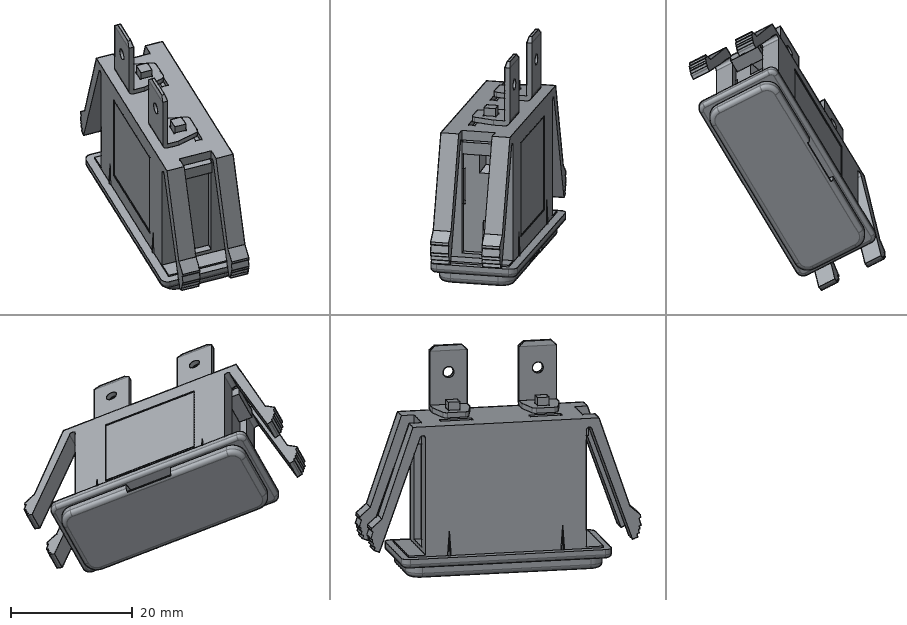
import cadquery as cq


TOTAL_HEIGHT = 36.55

LENS_LENGTH = 33.0
LENS_WIDTH = 12.75
LENS_CORNER = 2.35
LENS_EDGE_RADIUS = 0.8

BEZEL_LENGTH = 35.3
BEZEL_WIDTH = 14.6
BEZEL_BOTTOM = 1.9
BEZEL_TOP = 3.45
BEZEL_CORNER = 1.25
BEZEL_EDGE_RADIUS = 0.7

NOTCH_OUTER_WIDTH = 8.0
NOTCH_INNER_WIDTH = 7.55
NOTCH_LIP_HEIGHT = 0.45
NOTCH_LIP_DEPTH = 0.35
NOTCH_TOP_DEPTH = 1.35

BODY_LENGTH = 27.0
BODY_WIDTH = 11.7
BODY_TOP = 25.4
STEP_LENGTH = 32.75
STEP_TOP = 3.75
BODY_END = BODY_LENGTH / 2
BODY_SIDE = BODY_WIDTH / 2

LABEL_SIZE = 16.0
LABEL_BOTTOM = 6.3
LABEL_DEPTH = 0.2

RIB_SPACING = 19.05
RIB_TOP = 7.5
RIB_BASE_WIDTH = 0.65
RIB_CREST_WIDTH = 0.27
RIB_HEIGHT = 0.2
RIB_TIP_SCALE = 0.1

ARM_GAP = 5.65
ARM_REACH = 22.75
ARM_ROOT_X = 15.65
SLOT_OUTER_X = 14.5
SLOT_ROOT_Z = 23.38
SLOT_TOP_Z = 23.88
ARM_TIP = [
    (20.88, 10.2), (22.6, 8.7), (22.65, 8.3), (22.38, 8.1), (ARM_REACH, 6.9), (22.4, 6.75), (22.55, 6.3),
    (22.3, 6.2), (22.4, 5.65), (22.0, 5.45), (22.2, 4.95), (21.85, 4.8), (21.3, 4.6),
]

RECESS_DEPTH = 1.2
RECESS_BOTTOM = 4.4
RECESS_TOP = 23.75
RECESS_FLOOR_X = BODY_END - RECESS_DEPTH
LEDGE_OUTER_X = 14.6
LEDGE_WIDTH = 5.1
LEDGE_HEIGHT = 2.05

RAMP_LEFT_Y = -0.6
RAMP_TOP = 9.9
RAMP_FOOT_SETBACK = 0.15
RAMP_CREST_WIDTH = 0.27
SIDE_POCKET_INNER_Y = 2.55
SIDE_POCKET_OUTER_Y = 4.65
SIDE_POCKET_BOTTOM = 12.5
SIDE_POCKET_TOP = 18.55
SIDE_POCKET_DEPTH = 2.0
BEVEL_POCKET_LEFT_Y = 0.1
BEVEL_POCKET_BOTTOM = 17.95
BEVEL_POCKET_TOP = 22.65
BEVEL_POCKET_SIDE_BEVEL = 0.6
BEVEL_POCKET_BOTTOM_BEVEL = 0.95
BEVEL_POCKET_DEPTH = 1.8

TERMINAL_SPACING = 15.0
SHEET = 0.85
BLADE_WIDTH = 6.28
BLADE_FRONT_Y = -4.6
FOOT_BOTTOM = 25.8
FOOT_BACK_Y = 2.15
FOOT_BACK_WIDTH = 4.1
FOOT_TAPER_START_Y = -1.8
FOOT_BACK_CORNER = 0.7
BLADE_TIP_HEIGHT = 0.8
BLADE_TIP_INSET = 0.85
BLADE_TIP_BEVEL = 0.2
BLADE_HOLE_DIAMETER = 1.8
BLADE_HOLE_Z = 32.05
POST_SIZE = 1.95
POST_HOLE_CLEARANCE = 0.15
POST_Y = -0.65
POST_TOP = 27.95

TOP_SLOT_LENGTH = 5.35
TOP_SLOT_FRONT_Y = 1.4
TOP_SLOT_BACK_Y = 2.55
TOP_SLOT_DEPTH = 0.9


def block(x_range, y_range, z_range):
    """Rectangular block between the given limits on each axis."""
    sizes = [high - low for low, high in (x_range, y_range, z_range)]
    return cq.Workplane("XY").box(*sizes, centered=False).translate((x_range[0], y_range[0], z_range[0]))


def rounded_plate(length, width, corner, bottom, top, edge_radius):
    """Plate with rounded plan corners and a rounded lower edge."""
    plate = cq.Workplane("XY").workplane(offset=bottom).rect(length, width).extrude(top - bottom)
    return plate.edges("|Z").fillet(corner).faces("<Z").edges().fillet(edge_radius)


def make_pry_notch():
    """Cutter with a straight lip, a back wall that leans inward above it, and drafted sides."""
    front = -LENS_WIDTH / 2
    back = front + NOTCH_TOP_DEPTH
    profile = [
        (front, 0),
        (front + NOTCH_LIP_DEPTH, 0),
        (front + NOTCH_LIP_DEPTH, NOTCH_LIP_HEIGHT),
        (back, BEZEL_BOTTOM),
        (front, BEZEL_BOTTOM),
    ]
    plan = [
        (-NOTCH_OUTER_WIDTH / 2, front),
        (NOTCH_OUTER_WIDTH / 2, front),
        (NOTCH_INNER_WIDTH / 2, back),
        (-NOTCH_INNER_WIDTH / 2, back),
    ]
    wedge = cq.Workplane("YZ").polyline(profile).close().extrude(NOTCH_OUTER_WIDTH / 2, both=True)
    return wedge.intersect(cq.Workplane("XY").polyline(plan).close().extrude(BEZEL_BOTTOM))


def make_arm_pair():
    """Two snap arms at the +X end, one on each side of the central gap."""
    slot_middle_x = (BODY_END + SLOT_OUTER_X) / 2
    arms = (
        cq.Workplane("XZ")
        .moveTo(BODY_END, BODY_TOP)
        .lineTo(ARM_ROOT_X, BODY_TOP)
    )
    for point in ARM_TIP:
        arms = arms.lineTo(*point)
    arms = (
        arms.lineTo(SLOT_OUTER_X, SLOT_ROOT_Z)
        .threePointArc((slot_middle_x, SLOT_TOP_Z), (BODY_END, SLOT_ROOT_Z))
        .close()
        .extrude(BODY_SIDE, both=True)
    )
    gap = block((BODY_END, ARM_REACH), (-ARM_GAP / 2, ARM_GAP / 2), (0, BODY_TOP))
    return arms.cut(gap)


def make_crush_rib():
    """Rib on the -Y face at X = 0 that tapers away upward."""
    def section(scale):
        base = RIB_BASE_WIDTH / 2 * scale
        crest = RIB_CREST_WIDTH / 2 * scale
        crest_y = -BODY_SIDE - RIB_HEIGHT * scale
        return [(-base, -BODY_SIDE), (-crest, crest_y), (crest, crest_y), (base, -BODY_SIDE)]

    return (
        cq.Workplane("XY")
        .workplane(offset=BEZEL_TOP)
        .polyline(section(1)).close()
        .workplane(offset=RIB_TOP - BEZEL_TOP)
        .polyline(section(RIB_TIP_SCALE)).close()
        .loft(ruled=True)
    )


def make_end_recess():
    """Cutter for the shallow recess in the +X end wall."""
    return block((RECESS_FLOOR_X, BODY_END), (-ARM_GAP / 2, ARM_GAP / 2), (RECESS_BOTTOM, RECESS_TOP))


def make_end_ledge():
    """Ledge that stands out of the +X recess, under its top."""
    return block(
        (RECESS_FLOOR_X, LEDGE_OUTER_X),
        (-LEDGE_WIDTH / 2, LEDGE_WIDTH / 2),
        (RECESS_TOP - LEDGE_HEIGHT, RECESS_TOP),
    )


def make_recess_ramp():
    """Steep ramp standing on the sill of the -X recess."""
    profile = [
        (-RECESS_FLOOR_X, RECESS_BOTTOM),
        (-BODY_END + RAMP_FOOT_SETBACK, RECESS_BOTTOM),
        (-RECESS_FLOOR_X - RAMP_CREST_WIDTH, RAMP_TOP),
        (-RECESS_FLOOR_X, RAMP_TOP),
    ]
    ramp = cq.Workplane("XZ", origin=(0, RAMP_LEFT_Y, 0)).polyline(profile).close()
    return ramp.extrude(ARM_GAP / 2 + RAMP_LEFT_Y)


def make_side_pocket():
    """Cutter for the pocket behind the +Y side of the -X recess."""
    return block(
        (-RECESS_FLOOR_X, -RECESS_FLOOR_X + SIDE_POCKET_DEPTH),
        (SIDE_POCKET_INNER_Y, SIDE_POCKET_OUTER_Y),
        (SIDE_POCKET_BOTTOM, SIDE_POCKET_TOP),
    )


def make_bevel_pocket():
    """Cutter for the pocket in the -X recess with a sloping +Y wall and a sloping bottom."""
    def outline(side_bevel, bottom_bevel):
        left = BEVEL_POCKET_LEFT_Y - side_bevel
        bottom = BEVEL_POCKET_BOTTOM + bottom_bevel
        right = -ARM_GAP / 2
        return [(left, bottom), (left, BEVEL_POCKET_TOP), (right, BEVEL_POCKET_TOP), (right, bottom)]

    return (
        cq.Workplane("YZ", origin=(-RECESS_FLOOR_X, 0, 0))
        .polyline(outline(0, 0)).close()
        .workplane(offset=BEVEL_POCKET_DEPTH)
        .polyline(outline(BEVEL_POCKET_SIDE_BEVEL, BEVEL_POCKET_BOTTOM_BEVEL)).close()
        .loft(ruled=True)
    )


def make_post(y_clearance=0):
    """Square post at X = 0 on the housing top, optionally widened along Y to cut its hole."""
    half_x = POST_SIZE / 2
    half_y = POST_SIZE / 2 + y_clearance
    return block((-half_x, half_x), (POST_Y - half_y, POST_Y + half_y), (BODY_TOP, POST_TOP))


def make_housing():
    """Lens, bezel, body, snap arms and terminal posts as one solid."""
    lens = rounded_plate(LENS_LENGTH, LENS_WIDTH, LENS_CORNER, 0, BEZEL_BOTTOM, LENS_EDGE_RADIUS)
    bezel = rounded_plate(
        BEZEL_LENGTH, BEZEL_WIDTH, BEZEL_CORNER, BEZEL_BOTTOM, BEZEL_TOP, BEZEL_EDGE_RADIUS
    )
    step = block((-STEP_LENGTH / 2, STEP_LENGTH / 2), (-BODY_SIDE, BODY_SIDE), (BEZEL_TOP, STEP_TOP))
    body = block((-BODY_END, BODY_END), (-BODY_SIDE, BODY_SIDE), (STEP_TOP, BODY_TOP))
    housing = bezel.union(lens.cut(make_pry_notch())).union(step).union(body)

    arms = make_arm_pair()
    recess = make_end_recess()
    ledge = make_end_ledge()
    housing = housing.union(arms).union(arms.mirror("YZ"))
    housing = housing.cut(recess).cut(recess.mirror("YZ"))

    housing = housing.cut(make_side_pocket()).cut(make_bevel_pocket()).union(make_recess_ramp())
    housing = housing.union(ledge).union(ledge.mirror("YZ"))

    label = block(
        (-LABEL_SIZE / 2, LABEL_SIZE / 2),
        (-BODY_SIDE, -BODY_SIDE + LABEL_DEPTH),
        (LABEL_BOTTOM, LABEL_BOTTOM + LABEL_SIZE),
    )
    housing = housing.cut(label)

    rib = make_crush_rib()
    top_slot = block(
        (-TOP_SLOT_LENGTH / 2, TOP_SLOT_LENGTH / 2),
        (TOP_SLOT_FRONT_Y, TOP_SLOT_BACK_Y),
        (BODY_TOP - TOP_SLOT_DEPTH, BODY_TOP),
    )
    for side in (-1, 1):
        placed_rib = rib.translate((side * RIB_SPACING / 2, 0, 0))
        housing = housing.union(placed_rib).union(placed_rib.mirror("XZ"))
        terminal_place = (side * TERMINAL_SPACING / 2, 0, 0)
        housing = housing.cut(top_slot.translate(terminal_place))
        housing = housing.union(make_post().translate(terminal_place))
    return housing


def make_foot():
    """Flat foot of a terminal, tapering to a narrower rounded back edge."""
    half_back = FOOT_BACK_WIDTH / 2
    half_blade = BLADE_WIDTH / 2
    plan = [
        (-half_blade, BLADE_FRONT_Y),
        (half_blade, BLADE_FRONT_Y),
        (half_blade, FOOT_TAPER_START_Y),
        (half_back, FOOT_BACK_Y),
        (-half_back, FOOT_BACK_Y),
        (-half_blade, FOOT_TAPER_START_Y),
    ]
    foot = cq.Workplane("XY").workplane(offset=FOOT_BOTTOM).polyline(plan).close().extrude(SHEET)
    return foot.edges("|Z and >Y").fillet(FOOT_BACK_CORNER)


def make_blade():
    """Upright blade with a bevelled tip and a round hole."""
    shoulder_z = TOTAL_HEIGHT - BLADE_TIP_HEIGHT
    half_width = BLADE_WIDTH / 2
    tip_half_width = half_width - BLADE_TIP_INSET
    back_y = BLADE_FRONT_Y + SHEET
    outline = [
        (-half_width, FOOT_BOTTOM),
        (half_width, FOOT_BOTTOM),
        (half_width, shoulder_z),
        (tip_half_width, TOTAL_HEIGHT),
        (-tip_half_width, TOTAL_HEIGHT),
        (-half_width, shoulder_z),
    ]
    edge_profile = [
        (BLADE_FRONT_Y, FOOT_BOTTOM),
        (back_y, FOOT_BOTTOM),
        (back_y, shoulder_z),
        (back_y - BLADE_TIP_BEVEL, TOTAL_HEIGHT),
        (BLADE_FRONT_Y + BLADE_TIP_BEVEL, TOTAL_HEIGHT),
        (BLADE_FRONT_Y, shoulder_z),
    ]
    blade = cq.Workplane("XZ", origin=(0, back_y, 0)).polyline(outline).close().extrude(SHEET)
    blade = blade.intersect(
        cq.Workplane("YZ").polyline(edge_profile).close().extrude(half_width, both=True)
    )
    hole = (
        cq.Workplane("XZ", origin=(0, back_y, 0))
        .center(0, BLADE_HOLE_Z)
        .circle(BLADE_HOLE_DIAMETER / 2)
        .extrude(SHEET)
    )
    return blade.cut(hole)


def make_terminal(x):
    """Terminal bent from one sheet, with a hole that fits over a housing post."""
    terminal = make_foot().union(make_blade())
    terminal = terminal.edges("|X and <Y and <Z").fillet(SHEET)
    return terminal.cut(make_post(POST_HOLE_CLEARANCE)).translate((x, 0, 0))


housing = make_housing()
terminals = [make_terminal(side * TERMINAL_SPACING / 2) for side in (-1, 1)]

result = cq.Compound.makeCompound([housing.val(), *[terminal.val() for terminal in terminals]])